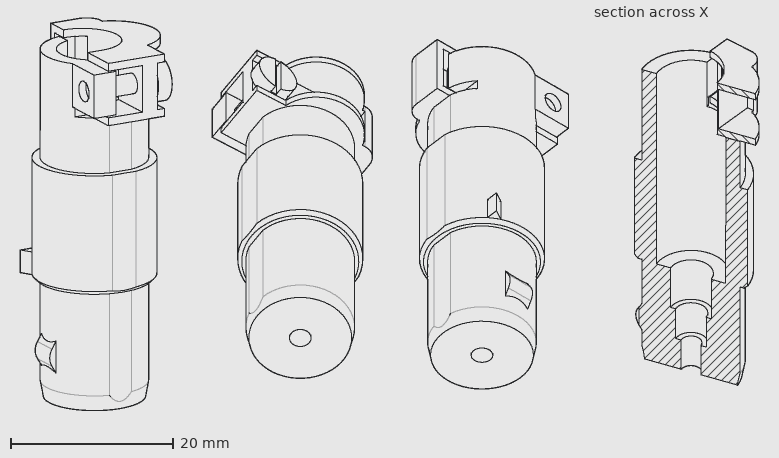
import cadquery as cq
import math


key_angle = -15.0

total_height = 45.95
tip_taper_height = 2.0
sleeve_bottom = 15.3
sleeve_top = 30.75
seat_z = 37.9
groove_top = 39.15
tube_top = 44.75

tube_radius = 6.7
tip_radius = 6.35
sleeve_radius = 7.7
sleeve_chamfer = 0.5
tube_flat = 6.52
sleeve_flat = 7.55

bore_steps = [(4.7, sleeve_bottom), (2.75, 9.2), (2.05, 4.6), (1.35, 0.0)]

shell_end_v = -1.25
groove_left_u = -4.82
groove_right_u = 4.27
ear_front_v = -5.38
ear_back_v = -2.25

pointer_tip_radius = 9.15
pointer_angle = 225.0
pointer_half_angle = 30.0
pointer_bottom = sleeve_bottom + sleeve_chamfer
pointer_top = 18.75
pointer_depth = 2.3
lug_half_length = 1.85
lug_height = 6.45
lug_crest_v = -7.35
lug_shoulder_v = -7.05
lug_shoulder_half = 1.1
lug_base_v = -6.2
lug_base_half = 2.5

plate = 1.0
clamp_left_u = -8.55
clamp_right_u = 9.45
mouth_v = -1.4
right_arm_v = -3.35
clamp_back_v = 4.6
clamp_corner = 2.0
opening_u = -0.5
opening_radius = 4.82
bulge_v = 2.75
bulge_radius = 5.97
web_front_v = 1.45
web_back_v = 3.65

screw_u = 6.95
screw_z = (tube_top + groove_top) / 2
screw_radius = 1.3
screw_tip_v = -4.35
head_radius = 2.75
head_back_v = 5.55
slot_width = 0.8
slot_depth = 1.0


def box(u_range, v_range, z_range):
    """A block between the given limits in the keyed frame."""
    lows, highs = zip(u_range, v_range, z_range)
    lengths = [high - low for low, high in zip(lows, highs)]
    return cq.Workplane("XY").box(*lengths, centered=False).translate(lows)


def upright_cylinder(u, v, radius, z_range):
    bottom, top = z_range
    return cq.Workplane("XY", origin=(u, v, bottom)).circle(radius).extrude(top - bottom)


def screw_cylinder(radius, v_range):
    """A cylinder on the clamp screw's axis."""
    front, back = v_range
    return cq.Workplane("XZ", origin=(screw_u, front, screw_z)).circle(radius).extrude(front - back)


def key(body):
    """Turn a body from the keyed frame to X, Y."""
    return body.rotate((0, 0, 0), (0, 0, 1), key_angle)




def flatted(body, flat_distance):
    """Cut the two opposite key flats, which stop at the clamp seat."""
    reach = 2 * sleeve_radius
    for across in ((-reach, -flat_distance), (flat_distance, reach)):
        body = body.cut(box(across, (-reach, reach), (0, seat_z)))
    return body


def tube():
    body = (
        cq.Workplane("XZ")
        .polyline([
            (0, 0),
            (tip_radius, 0),
            (tube_radius, tip_taper_height),
            (tube_radius, tube_top),
            (0, tube_top),
        ])
        .close()
        .revolve(360, (0, 0, 0), (0, 1, 0))
    )
    return flatted(body, tube_flat)


def sleeve():
    body = upright_cylinder(0, 0, sleeve_radius, (sleeve_bottom, sleeve_top))
    return flatted(body.faces("<Z").chamfer(sleeve_chamfer), sleeve_flat)


def pointer():
    """Upright triangular prism with its sharp edge pointing away from the axis."""
    base_radius = pointer_tip_radius - pointer_depth
    base_half = pointer_depth * math.tan(math.radians(pointer_half_angle))
    prism = (
        cq.Workplane("XY", origin=(0, 0, pointer_bottom))
        .polyline([(pointer_tip_radius, 0), (base_radius, base_half), (base_radius, -base_half)])
        .close()
        .extrude(pointer_top - pointer_bottom)
    )
    return prism.rotate((0, 0, 0), (0, 0, 1), pointer_angle - key_angle)


def bayonet_lug():
    """Round-crested lug with sloping sides, running across the front of the tube."""
    return (
        cq.Workplane("YZ", origin=(-lug_half_length, 0, lug_height))
        .moveTo(lug_base_v, -lug_base_half)
        .lineTo(lug_shoulder_v, -lug_shoulder_half)
        .threePointArc((lug_crest_v, 0), (lug_shoulder_v, lug_shoulder_half))
        .lineTo(lug_base_v, lug_base_half)
        .close()
        .extrude(2 * lug_half_length)
    )


def clamp_clearance():
    """The back of the tube above the seat, and the side slots for the lower plate."""
    reach = 2 * tube_radius
    back_left = box((-reach, 0), (shell_end_v, reach), (seat_z, total_height))
    back_right = box((0, reach), (ear_back_v, reach), (seat_z, total_height))
    left_slot = box((-reach, groove_left_u), (-reach, reach), (seat_z, groove_top))
    right_slot = box((groove_right_u, reach), (-reach, reach), (seat_z, groove_top))
    return back_left.union(back_right).union(left_slot).union(right_slot)


def screw_ear():
    return box((0, clamp_right_u), (ear_front_v, ear_back_v), (groove_top, tube_top))


def make_housing():
    body = tube().cut(clamp_clearance()).union(screw_ear())
    body = body.union(sleeve()).union(pointer()).union(bayonet_lug())
    for radius, floor in bore_steps:
        body = body.cut(upright_cylinder(0, 0, radius, (floor, total_height)))
    return key(body.cut(screw_cylinder(screw_radius, (ear_front_v, ear_back_v))))




def rounded_slab(z_range):
    """The clamp's full footprint behind the mouth, with its round back-left corner."""
    slab = box((clamp_left_u, clamp_right_u), (mouth_v, clamp_back_v), z_range)
    return slab.edges("|Z and <X and >Y").fillet(clamp_corner)


def clamp_plate(bottom):
    """One plate: a left and a right arm around the opening, with a round back."""
    levels = (bottom, bottom + plate)
    bulge = upright_cylinder(opening_u, bulge_v, bulge_radius, levels)
    before_mouth = box((clamp_left_u, clamp_right_u), (bulge_v - bulge_radius, mouth_v), levels)
    right_arm = box((opening_u + opening_radius, clamp_right_u), (right_arm_v, mouth_v), levels)
    return rounded_slab(levels).union(bulge).cut(before_mouth).union(right_arm)


def clamp_walls():
    """The left wall with its round corner, and the web across the back."""
    levels = (seat_z, total_height)
    corner_end_u = clamp_left_u + clamp_corner
    left_end = box((clamp_left_u, corner_end_u), (mouth_v, clamp_back_v), levels)
    left = rounded_slab(levels).intersect(left_end)
    pocket = box((clamp_left_u + plate, corner_end_u), (mouth_v, web_front_v), levels)
    web = box((corner_end_u, clamp_right_u), (web_front_v, web_back_v), levels)
    return left.cut(pocket).union(web)


def clamp_screw():
    """Slotted screw, in one piece with the clamp."""
    shank = screw_cylinder(screw_radius, (screw_tip_v, web_back_v))
    head = screw_cylinder(head_radius, (web_back_v, head_back_v))
    slot = box(
        (screw_u - slot_width / 2, screw_u + slot_width / 2),
        (head_back_v - slot_depth, head_back_v),
        (screw_z - head_radius, screw_z + head_radius),
    )
    return shank.union(head.cut(slot))


def make_clamp():
    body = clamp_walls().union(clamp_plate(seat_z)).union(clamp_plate(total_height - plate))
    body = body.cut(upright_cylinder(opening_u, mouth_v, opening_radius, (seat_z, total_height)))
    return key(body.union(clamp_screw()))


housing = make_housing()
clamp = make_clamp()

result = cq.Compound.makeCompound([housing.solids().val(), clamp.solids().val()])